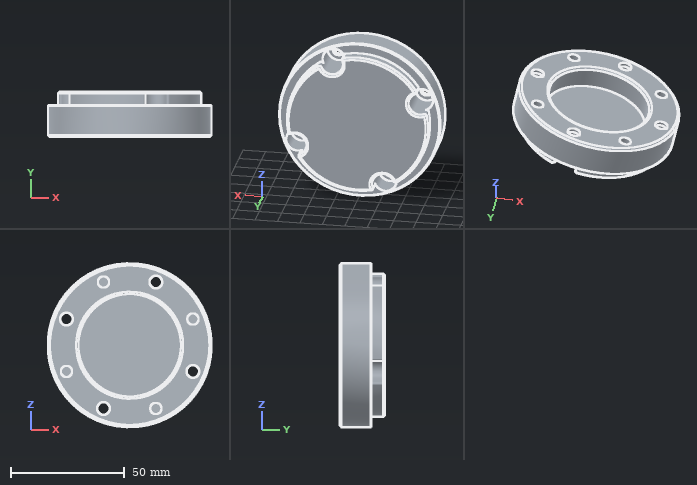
import cadquery as cq
import math

flange_diameter = 72.0
flange_thickness = 14.0
front_chamfer = 1.0
back_chamfer = 0.4

total_length = 20.0
spigot_diameter = 63.0
spigot_chamfer = 0.9

recess_diameter = 45.0
recess_depth = 10.0
recess_chamfer = 1.0

bolt_circle_radius = 30.0
holes_per_set = 4
hole_pitch = 360 / holes_per_set
blind_start_angle = hole_pitch / 4
screw_start_angle = blind_start_angle + hole_pitch / 2
blind_hole_diameter = 5.0
blind_hole_depth = 10.0

screw_hole_diameter = 5.5
screw_seat_thickness = 2.0
counterbore_diameter = 10.0
notch_corner_radius = 1.0


def plane_at(y):
    """Workplane at distance y along the axis, facing +Y, with local axes +X and -Z."""
    return cq.Workplane(cq.Plane(origin=(0, y, 0), xDir=(1, 0, 0), normal=(0, 1, 0)))


def cylinder(diameter, y_start, y_end):
    return plane_at(y_start).circle(diameter / 2).extrude(y_end - y_start)


def cylinder_ring(start_angle, diameter, y_start, y_end):
    """Equally spaced cylinders on the bolt circle; angles run from +X towards +Z."""
    angles = [math.radians(start_angle + i * hole_pitch) for i in range(holes_per_set)]
    centres = [(bolt_circle_radius * math.cos(a), -bolt_circle_radius * math.sin(a)) for a in angles]
    return plane_at(y_start).pushPoints(centres).circle(diameter / 2).extrude(y_end - y_start)


def make_flange():
    flange = cylinder(flange_diameter, 0, flange_thickness)
    flange = flange.faces("<Y").chamfer(front_chamfer).faces(">Y").chamfer(back_chamfer)
    flange = flange.cut(cylinder(recess_diameter, 0, recess_depth))
    mouth_edge = flange.faces("<Y").edges(cq.selectors.RadiusNthSelector(0))
    return mouth_edge.chamfer(recess_chamfer)


def make_spigot():
    spigot = cylinder(spigot_diameter, flange_thickness, total_length)
    notches = cylinder_ring(screw_start_angle, counterbore_diameter, flange_thickness, total_length)
    notched = spigot.cut(notches)
    rounded = notched.edges("|Y").fillet(notch_corner_radius)
    return rounded.faces(">Y").chamfer(spigot_chamfer)


blind_holes = cylinder_ring(blind_start_angle, blind_hole_diameter, 0, blind_hole_depth)
screw_holes = cylinder_ring(screw_start_angle, screw_hole_diameter, 0, flange_thickness)
counterbores = cylinder_ring(
    screw_start_angle, counterbore_diameter, screw_seat_thickness, flange_thickness
)

result = make_flange().union(make_spigot()).cut(blind_holes).cut(screw_holes).cut(counterbores)